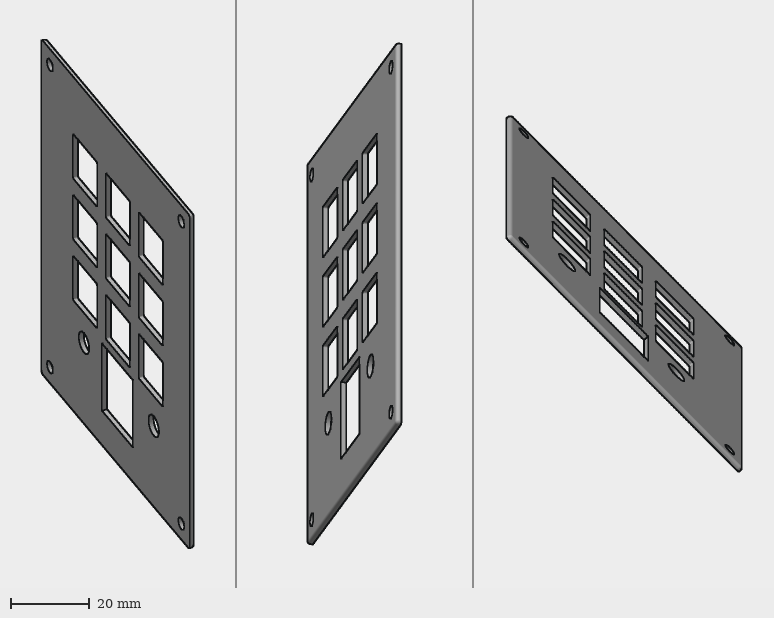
import cadquery as cq

WIDTH = 86.2
HEIGHT = 104.7
THICKNESS = 1.5
CORNER_RADIUS = 1.0
BACK_FILLET = 0.9

MOUNT_DIAMETER = 3.4
MOUNT_INSET = 5.0

KEY_SIZE = 13.9
KEY_CORNER_RADIUS = 0.4
KEY_PITCH = 19.1
KEYS_PER_SIDE = 3
KEY_GRID_CENTER = (1.4, 8.4)

WINDOW_WIDTH = 17.8
WINDOW_HEIGHT = 21.0
WINDOW_CENTER = (1.0, -31.0)

SIDE_HOLE_DIAMETER = 6.0
SIDE_HOLE_SPACING = 40.4
SIDE_HOLES_CENTER = (1.9, -27.0)


def make_plate():
    """Upright plate with rounded corners and a rounded back rim."""
    plate = cq.Workplane("XY").box(WIDTH, THICKNESS, HEIGHT)
    plate = plate.edges("|Y").fillet(CORNER_RADIUS)
    return plate.faces(">Y").edges().fillet(BACK_FILLET)


def front_plane(center=(0, 0)):
    """Sketch plane through mid-thickness, with X across and Z up."""
    return cq.Workplane("XZ").center(*center)


def through(sketch):
    """Cutter passing through the whole plate on both sides of its middle."""
    return sketch.extrude(THICKNESS, both=True)


def mounting_holes():
    spacing_x = WIDTH - 2 * MOUNT_INSET
    spacing_z = HEIGHT - 2 * MOUNT_INSET
    places = front_plane().rarray(spacing_x, spacing_z, 2, 2)
    return through(places.circle(MOUNT_DIAMETER / 2))


def key_openings():
    places = front_plane(KEY_GRID_CENTER).rarray(KEY_PITCH, KEY_PITCH, KEYS_PER_SIDE, KEYS_PER_SIDE)
    openings = through(places.rect(KEY_SIZE, KEY_SIZE))
    return openings.edges("|Y").fillet(KEY_CORNER_RADIUS)


def window():
    return through(front_plane(WINDOW_CENTER).rect(WINDOW_WIDTH, WINDOW_HEIGHT))


def side_holes():
    half_spacing = SIDE_HOLE_SPACING / 2
    places = front_plane(SIDE_HOLES_CENTER).pushPoints([(-half_spacing, 0), (half_spacing, 0)])
    return through(places.circle(SIDE_HOLE_DIAMETER / 2))


result = make_plate()
for cutter in (mounting_holes(), key_openings(), window(), side_holes()):
    result = result.cut(cutter)